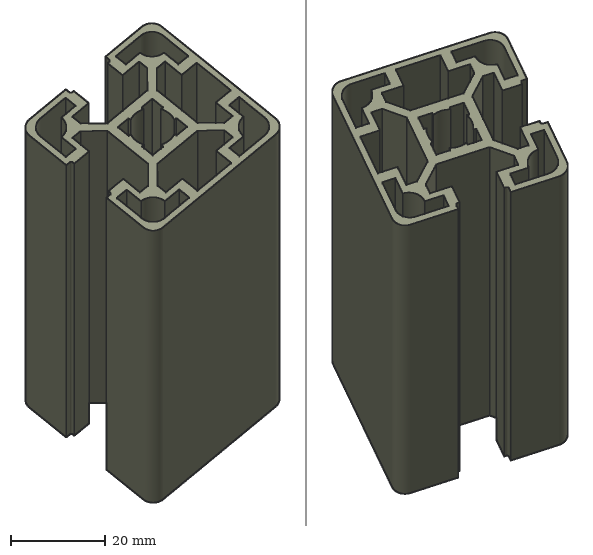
import cadquery as cq
import math

length = 100.0
side = 40.0
corner_radius = 3.0
half_side = side / 2

wall = 1.5
cavity_radius = 3.3
cavity_end = 7.6
cavity_leg = 3.0
relief_radius = 3.6
cavity_outer = half_side - wall
cavity_bend = cavity_outer - cavity_leg

neck_half_width = 5.1
mouth_half_width = 6.0
mouth_fillet = 0.4
slot_half_width = 10.1
slot_shoulder = 14.0
core_half = 7.5
web = 2.0
web_offset = web / math.sqrt(2)

bore_half = 5.2
bore_radius = 5.0
rib_width = 4.0

open_slots = [0, -90]
closed_slots = [90, 180]


def prism(sketch):
    return sketch.extrude(length)


def block(width, depth):
    return prism(cq.Workplane("XY").rect(width, depth))


def turned(body, angle):
    return body.rotate((0, 0, 0), (0, 0, 1), angle)


def slot(is_open):
    """T-slot facing -Y; a closed slot keeps the outer wall."""
    right_side = [
        (core_half - web_offset, -core_half),
        (slot_half_width, -slot_half_width - web_offset),
        (slot_half_width, -slot_shoulder),
        (neck_half_width, -slot_shoulder),
        (neck_half_width, -cavity_outer),
    ]
    if is_open:
        right_side += [(mouth_half_width, -cavity_outer), (mouth_half_width, -half_side)]
    left_side = [(-x, y) for x, y in reversed(right_side)]
    body = prism(cq.Workplane("XY").polyline(right_side + left_side).close())
    if is_open:
        for x in (-mouth_half_width, mouth_half_width):
            step_corner = cq.selectors.NearestToPointSelector((x, -cavity_outer, length / 2))
            body = body.edges("|Z").edges(step_corner).fillet(mouth_fillet)
    return body


def corner_cavity():
    """L-shaped cavity in the +X +Y corner, with a round relief in its bend."""
    return prism(
        cq.Workplane("XY")
        .moveTo(cavity_end, cavity_outer)
        .lineTo(cavity_outer - cavity_radius, cavity_outer)
        .radiusArc((cavity_outer, cavity_outer - cavity_radius), cavity_radius)
        .lineTo(cavity_outer, cavity_end)
        .lineTo(cavity_bend, cavity_end)
        .lineTo(cavity_bend, cavity_bend - relief_radius)
        .radiusArc((cavity_bend - relief_radius, cavity_bend), relief_radius)
        .lineTo(cavity_end, cavity_bend)
        .close()
    )


def central_bore():
    """Square bore whose wall ribs are hollowed by a round hole."""
    square = block(2 * bore_half, 2 * bore_half)
    ribs = block(rib_width, 2 * bore_half).union(block(2 * bore_half, rib_width))
    hole = prism(cq.Workplane("XY").circle(bore_radius))
    return square.cut(ribs).union(hole)


result = block(side, side).edges("|Z").fillet(corner_radius)

for angle in open_slots:
    result = result.cut(turned(slot(is_open=True), angle))
for angle in closed_slots:
    result = result.cut(turned(slot(is_open=False), angle))
for corner in range(4):
    result = result.cut(turned(corner_cavity(), 90 * corner))

result = result.cut(central_bore())